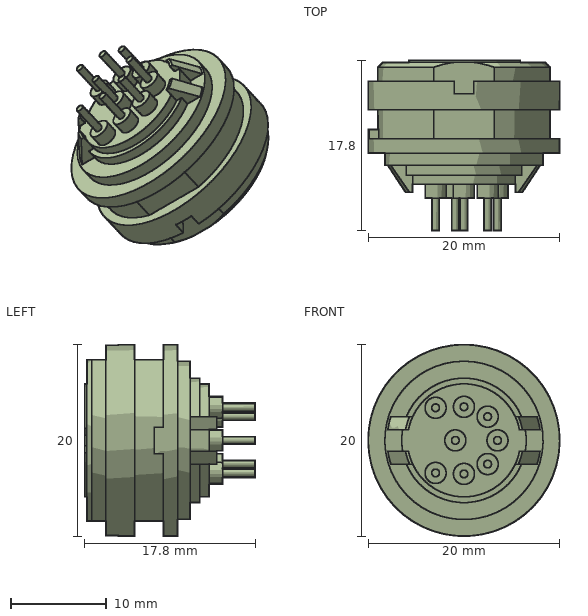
import cadquery as cq
import math


flange_radius = 10.0
flange_thickness = 1.5
body_radius = 9.0
body_end_y = 9.45
body_chamfer = 0.52
flat_half_height = 8.42
nut_start_y = 4.5
nut_thickness = 3.0
nut_end_y = nut_start_y + nut_thickness
nut_slot_width = 2.0
nut_slot_depth = 1.3

key_width = 2.75
key_length = 0.95

collar_radius = 8.25
collar_end_y = -1.3
step_radius = 6.5
step_end_y = -2.32
insert_radius = 5.9
insert_front_y = -3.28
insert_rear_y = 9.7

notch_radius = 1.28
notch_floor_width = 1.08

clip_inner_z = 1.12
clip_outer_z = 2.48
clip_base_radius = 8.02
clip_tip_radius = 6.2
clip_tip_y = -4.1

seat_radius = 1.1
seat_end_y = -4.7
pin_radius = 0.4
pin_tip_y = -8.1
contact_circle_radius = 3.5
contact_angles = (-90, -45, 0, 45, 90)
centre_contact_x = -0.9
outer_contact_x = -2.95
outer_contact_z = 3.4


def cylinder_y(radius, y_start, y_end, x=0.0, z=0.0):
    """Cylinder along Y between two Y positions."""
    axis = cq.Vector(0, y_end - y_start, 0)
    return cq.Workplane(cq.Solid.makeCylinder(radius, axis.Length, cq.Vector(x, y_start, z), axis))


def box_between(x_range, y_range, z_range):
    """Axis-aligned box given by its limits."""
    sizes = [high - low for low, high in (x_range, y_range, z_range)]
    corner = (x_range[0], y_range[0], z_range[0])
    return cq.Workplane("XY").box(*sizes, centered=False).translate(corner)


def make_body():
    """Threaded body with a rear chamfer and flats at top and bottom."""
    body = cylinder_y(body_radius, 0, body_end_y).faces(">Y").chamfer(body_chamfer)
    flats = box_between(
        (-body_radius, body_radius), (0, body_end_y), (-flat_half_height, flat_half_height)
    )
    return body.intersect(flats)


def make_nut():
    """Ring nut with two spanner slots opening to the rear, down to the body flats."""
    nut = cylinder_y(flange_radius, nut_start_y, nut_end_y)
    half_width = nut_slot_width / 2
    slot_x = (-half_width, half_width)
    slot_y = (nut_end_y - nut_slot_depth, nut_end_y)
    for slot_z in ((flat_half_height, flange_radius), (-flange_radius, -flat_half_height)):
        nut = nut.cut(box_between(slot_x, slot_y, slot_z))
    return nut


def make_key():
    """Key on the -X side, flush with the flange rim."""
    key_end_y = flange_thickness + key_length
    half_width = key_width / 2
    block = box_between((-flange_radius, 0), (0, key_end_y), (-half_width, half_width))
    return cylinder_y(flange_radius, 0, key_end_y).intersect(block)


def make_insert():
    """Contact insert with a notch in the rear and full-height bridges between the clips."""
    insert = cylinder_y(insert_radius, insert_front_y, insert_rear_y)
    floor_depth = math.sqrt(notch_radius**2 - (notch_floor_width / 2) ** 2)
    notch_span = box_between(
        (-insert_radius - notch_radius, -insert_radius + floor_depth),
        (body_end_y, insert_rear_y),
        (-notch_radius, notch_radius),
    )
    notch = cylinder_y(notch_radius, body_end_y, insert_rear_y, x=-insert_radius)
    insert = insert.cut(notch.intersect(notch_span))
    bridge_span = box_between(
        (-step_radius, step_radius), (insert_front_y, 0), (-clip_inner_z, clip_inner_z)
    )
    return insert.union(cylinder_y(step_radius, insert_front_y, 0).intersect(bridge_span))


def make_clips():
    """Four clips: slices of a conical ring that tapers towards the pins."""
    ring = (
        cq.Workplane("XY")
        .polyline(
            [
                (insert_radius, collar_end_y),
                (clip_base_radius, collar_end_y),
                (clip_tip_radius, clip_tip_y),
                (insert_radius, clip_tip_y),
            ]
        )
        .close()
        .revolve(360, (0, 0, 0), (0, 1, 0))
    )
    clip_x = (-clip_base_radius, clip_base_radius)
    clip_y = (clip_tip_y, collar_end_y)
    upper = box_between(clip_x, clip_y, (clip_inner_z, clip_outer_z))
    lower = box_between(clip_x, clip_y, (-clip_outer_z, -clip_inner_z))
    return ring.intersect(upper.union(lower))


def make_contact(x, z):
    """Solder pin standing on a round seat."""
    seat = cylinder_y(seat_radius, seat_end_y, 0, x, z)
    return seat.union(cylinder_y(pin_radius, pin_tip_y, 0, x, z))


def contact_positions():
    """(x, z) of the eight contacts."""
    positions = [(centre_contact_x, 0.0)]
    for degrees in contact_angles:
        angle = math.radians(degrees)
        positions.append((contact_circle_radius * math.cos(angle), contact_circle_radius * math.sin(angle)))
    for z in (-outer_contact_z, outer_contact_z):
        positions.append((outer_contact_x, z))
    return positions


result = (
    make_body()
    .union(cylinder_y(flange_radius, 0, flange_thickness))
    .union(make_key())
    .union(make_nut())
    .union(cylinder_y(collar_radius, collar_end_y, 0))
    .union(cylinder_y(step_radius, step_end_y, 0))
    .union(make_insert())
    .union(make_clips())
)
for contact_x, contact_z in contact_positions():
    result = result.union(make_contact(contact_x, contact_z))